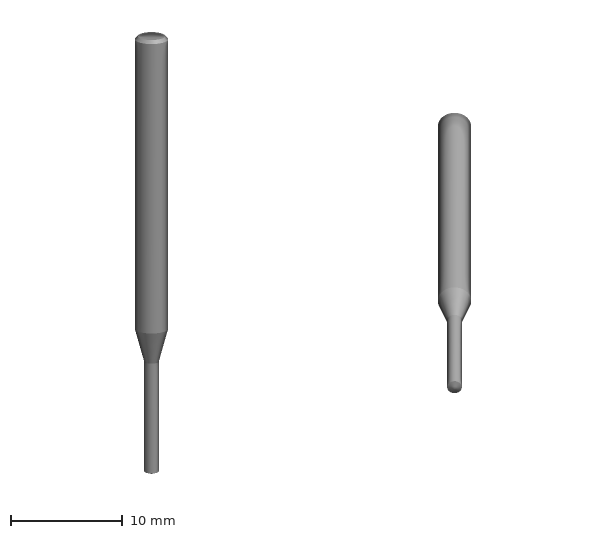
import cadquery as cq

total_length = 41.0
tip_height = 0.25
cutter_top = 6.3
neck_top = 10.55
taper_top = 13.6

shank_diameter = 3.0
neck_diameter = 1.3
end_chamfer = 0.3

shank_radius = shank_diameter / 2
neck_radius = neck_diameter / 2
cutter_radius = neck_radius


def make_shank():
    """Chamfered shank that tapers down to a slim neck."""
    half_profile = (
        cq.Workplane("YZ")
        .moveTo(0, cutter_top)
        .lineTo(-neck_radius, cutter_top)
        .lineTo(-neck_radius, neck_top)
        .lineTo(-shank_radius, taper_top)
        .lineTo(-shank_radius, total_length - end_chamfer)
        .lineTo(-shank_radius + end_chamfer, total_length)
        .lineTo(0, total_length)
        .close()
    )
    return half_profile.revolve(360, (0, 0, 0), (0, 1, 0))


def make_cutter():
    """Cylindrical cutter with a shallow conical tip, seated on the end of the neck."""
    half_profile = (
        cq.Workplane("XZ")
        .lineTo(-cutter_radius, tip_height)
        .lineTo(-cutter_radius, cutter_top)
        .lineTo(0, cutter_top)
        .close()
    )
    return half_profile.revolve(360, (0, 0, 0), (0, 1, 0))


shank = make_shank()
cutter = make_cutter()

result = cq.Compound.makeCompound([shank.val(), cutter.val()])